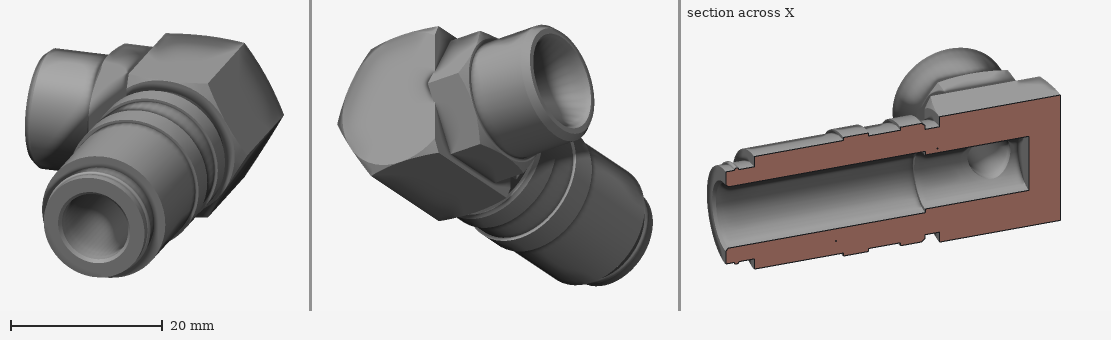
import cadquery as cq
import math


OVERALL_LENGTH_X = 31.0

BODY_FLATS = 19.0
BODY_LENGTH = 17.0

NUT_FLATS = 17.0
NUT_OUTER_X = -11.0
NUT_INNER_X = -5.3

HEX_CHAMFER_ANGLE = math.radians(30)

PORT_RADIUS = 8.0
PORT_CHAMFER_LENGTH = 0.93
PORT_CHAMFER_DEPTH = 0.75
CONE_MOUTH_RADIUS = 6.5
CONE_HALF_ANGLE = math.radians(30)
PORT_BORE_RADIUS = 3.0

NECK_RADIUS = 8.0
NECK_FLAT_END_Y = -9.85
COLLAR_RADIUS = 9.0
COLLAR_CHAMFER_LENGTH = 0.5
COLLAR_CHAMFER_DEPTH = 0.4
SLEEVE_RADIUS = 8.55
TIP_RADIUS = 7.0
FIRST_COLLAR_START_Y = -10.5
FIRST_COLLAR_END_Y = -14.0
SECOND_COLLAR_START_Y = -18.4
SECOND_COLLAR_END_Y = -22.0
SLEEVE_END_Y = -34.5
TIP_END_Y = -38.5

RING_CENTER_Y = -36.95
RING_WIDTH = 0.7
RING_HEIGHT = 0.3

BORE_MOUTH_RADIUS = 5.0
BORE_CHAMFER = 0.4
BORE_OUTER_RADIUS = BORE_MOUTH_RADIUS - BORE_CHAMFER
BORE_INNER_RADIUS = 4.05
BORE_STEP_Y = FIRST_COLLAR_START_Y
BORE_BOTTOM_Y = BORE_INNER_RADIUS

BODY_HALF_LENGTH = BODY_LENGTH / 2
HEX_CORNER_RATIO = 1 / math.cos(math.pi / 6)
BODY_CORNER_RADIUS = BODY_FLATS / 2 * HEX_CORNER_RATIO
NUT_CORNER_RADIUS = NUT_FLATS / 2 * HEX_CORNER_RATIO
BODY_FACE_X = -BODY_CORNER_RADIUS / 2
PORT_END_X = BODY_CORNER_RADIUS - OVERALL_LENGTH_X


def revolve_about_x(points):
    """Solid from (x, radius) points, closed along the X axis."""
    return cq.Workplane("XY").polyline(points).close().revolve(360, (0, 0), (1, 0))


def revolve_about_y(points):
    """Solid from (radius, y) points, closed along the Y axis."""
    return cq.Workplane("XY").polyline(points).close().revolve(360, (0, 0), (0, 1))


def hex_chamfer_length(flats, corner_radius):
    """Axial length of a corner chamfer that starts at the circle inside the flats."""
    return (corner_radius - flats / 2) * math.tan(HEX_CHAMFER_ANGLE)


def trim_port_side(solid, lowest_y):
    """Remove everything beyond the body's port face, above the given Y."""
    size = 2 * BODY_CORNER_RADIUS
    cutter = cq.Workplane("XY").box(size, size, size, centered=(False, False, True))
    return solid.cut(cutter.translate((BODY_FACE_X - size, lowest_y, 0)))


def make_body():
    """Hexagon chamfered at both ends, with the flat face toward the port."""
    hexagon = (
        cq.Workplane("XZ", origin=(0, BODY_HALF_LENGTH, 0))
        .polygon(6, 2 * BODY_CORNER_RADIUS)
        .extrude(BODY_LENGTH)
    )
    shoulder_y = BODY_HALF_LENGTH - hex_chamfer_length(BODY_FLATS, BODY_CORNER_RADIUS)
    envelope = revolve_about_y([
        (0, -BODY_HALF_LENGTH),
        (BODY_FLATS / 2, -BODY_HALF_LENGTH),
        (BODY_CORNER_RADIUS, -shoulder_y),
        (BODY_CORNER_RADIUS, shoulder_y),
        (BODY_FLATS / 2, BODY_HALF_LENGTH),
        (0, BODY_HALF_LENGTH),
    ])
    return trim_port_side(hexagon.intersect(envelope), -BODY_HALF_LENGTH)


def make_nut():
    """Hexagon with corners at +Y and -Y, chamfered on its outer end."""
    hexagon = (
        cq.Workplane("YZ", origin=(NUT_OUTER_X, 0, 0))
        .polygon(6, 2 * NUT_CORNER_RADIUS)
        .extrude(NUT_INNER_X - NUT_OUTER_X)
    )
    shoulder_x = NUT_OUTER_X + hex_chamfer_length(NUT_FLATS, NUT_CORNER_RADIUS)
    envelope = revolve_about_x([
        (NUT_OUTER_X, 0),
        (NUT_OUTER_X, NUT_FLATS / 2),
        (shoulder_x, NUT_CORNER_RADIUS),
        (NUT_INNER_X, NUT_CORNER_RADIUS),
        (NUT_INNER_X, 0),
    ])
    return hexagon.intersect(envelope)


def make_port():
    """Cylinder with a chamfered end."""
    return revolve_about_x([
        (PORT_END_X, 0),
        (PORT_END_X, PORT_RADIUS - PORT_CHAMFER_DEPTH),
        (PORT_END_X + PORT_CHAMFER_LENGTH, PORT_RADIUS),
        (NUT_INNER_X, PORT_RADIUS),
        (NUT_INNER_X, 0),
    ])


def make_neck():
    """Neck between body and hose connector, flattened where it passes the nut."""
    neck = revolve_about_y([
        (0, 0),
        (NECK_RADIUS, 0),
        (NECK_RADIUS, FIRST_COLLAR_START_Y),
        (0, FIRST_COLLAR_START_Y),
    ])
    return trim_port_side(neck, NECK_FLAT_END_Y)


def make_connector():
    """Sleeve with two collars, then the tip with its snap ring."""
    profile = (
        cq.Workplane("XY")
        .moveTo(0, FIRST_COLLAR_START_Y)
        .lineTo(COLLAR_RADIUS - COLLAR_CHAMFER_DEPTH, FIRST_COLLAR_START_Y)
        .lineTo(COLLAR_RADIUS, FIRST_COLLAR_START_Y - COLLAR_CHAMFER_LENGTH)
        .lineTo(COLLAR_RADIUS, FIRST_COLLAR_END_Y)
        .lineTo(SLEEVE_RADIUS, FIRST_COLLAR_END_Y)
        .lineTo(SLEEVE_RADIUS, SECOND_COLLAR_START_Y)
        .lineTo(COLLAR_RADIUS, SECOND_COLLAR_START_Y)
        .lineTo(COLLAR_RADIUS, SECOND_COLLAR_END_Y)
        .lineTo(SLEEVE_RADIUS, SECOND_COLLAR_END_Y)
        .lineTo(SLEEVE_RADIUS, SLEEVE_END_Y)
        .lineTo(TIP_RADIUS, SLEEVE_END_Y)
        .lineTo(TIP_RADIUS, RING_CENTER_Y + RING_WIDTH / 2)
        .threePointArc(
            (TIP_RADIUS + RING_HEIGHT, RING_CENTER_Y),
            (TIP_RADIUS, RING_CENTER_Y - RING_WIDTH / 2),
        )
        .lineTo(TIP_RADIUS, TIP_END_Y)
        .lineTo(0, TIP_END_Y)
        .close()
    )
    return profile.revolve(360, (0, 0), (0, 1))


def make_port_bore():
    """Conical mouth leading to a bore that ends at the hose axis."""
    cone_depth = (CONE_MOUTH_RADIUS - PORT_BORE_RADIUS) / math.tan(CONE_HALF_ANGLE)
    cone_end_x = PORT_END_X + cone_depth
    return revolve_about_x([
        (PORT_END_X, 0),
        (PORT_END_X, CONE_MOUTH_RADIUS),
        (cone_end_x, PORT_BORE_RADIUS),
        (0, PORT_BORE_RADIUS),
        (0, 0),
    ])


def make_connector_bore():
    """Blind stepped bore with a chamfered mouth."""
    return revolve_about_y([
        (0, TIP_END_Y),
        (BORE_MOUTH_RADIUS, TIP_END_Y),
        (BORE_OUTER_RADIUS, TIP_END_Y + BORE_CHAMFER),
        (BORE_OUTER_RADIUS, BORE_STEP_Y),
        (BORE_INNER_RADIUS, BORE_STEP_Y),
        (BORE_INNER_RADIUS, BORE_BOTTOM_Y),
        (0, BORE_BOTTOM_Y),
    ])


outside = make_body().union(make_neck()).union(make_connector()).union(make_nut()).union(make_port())
result = outside.cut(make_port_bore()).cut(make_connector_bore())